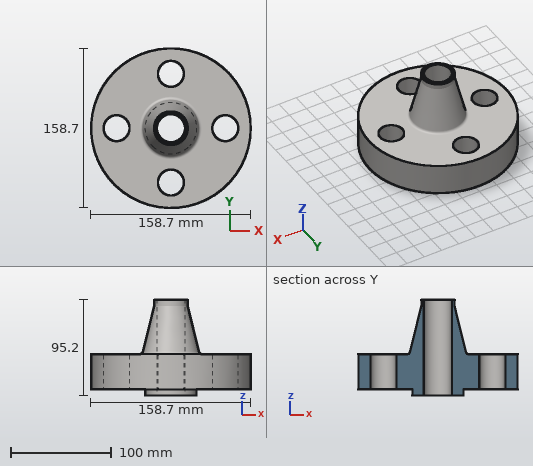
import cadquery as cq
import math

flange_diameter = 158.7
flange_thickness = 34.9

face_diameter = 51.1
face_height = 6.3

total_height = 95.2
neck_diameter = 33.6
neck_height = 6.7
hub_base_diameter = 57.1
hub_fillet = 3.2
bevel_width = 0.8
bevel_height = 0.5

bore_diameter = 27.8
bolt_hole_diameter = 25.5
bolt_circle_diameter = 108.0
bolt_count = 4

flange_top = face_height + flange_thickness
neck_bottom = total_height - neck_height


def revolved_body():
    """Raised face, disc, conical hub and bevelled neck as one turned solid."""
    flange_radius = flange_diameter / 2
    face_radius = face_diameter / 2
    hub_radius = hub_base_diameter / 2
    neck_radius = neck_diameter / 2

    slope = math.atan2(neck_bottom - flange_top, hub_radius - neck_radius)
    tangent_length = hub_fillet * math.tan(slope / 2)
    fillet_outer_radius = hub_radius + tangent_length
    fillet_top = (
        hub_radius - tangent_length * math.cos(slope),
        flange_top + tangent_length * math.sin(slope),
    )
    fillet_middle = (
        fillet_outer_radius - hub_fillet * math.sin(slope / 2),
        flange_top + hub_fillet * (1 - math.cos(slope / 2)),
    )

    profile = (
        cq.Workplane("XZ")
        .moveTo(0, 0)
        .lineTo(face_radius, 0)
        .lineTo(face_radius, face_height)
        .lineTo(flange_radius, face_height)
        .lineTo(flange_radius, flange_top)
        .lineTo(fillet_outer_radius, flange_top)
        .threePointArc(fillet_middle, fillet_top)
        .lineTo(neck_radius, neck_bottom)
        .lineTo(neck_radius, total_height - bevel_height)
        .lineTo(neck_radius - bevel_width, total_height)
        .lineTo(0, total_height)
        .close()
    )
    return profile.revolve(360, (0, 0, 0), (0, 1, 0))


def bore():
    """Straight bore through the full height."""
    return cq.Workplane("XY").circle(bore_diameter / 2).extrude(total_height)


def bolt_holes():
    """Ring of through holes, the first one on the +X axis."""
    return (
        cq.Workplane("XY")
        .polarArray(bolt_circle_diameter / 2, 0, 360, bolt_count)
        .circle(bolt_hole_diameter / 2)
        .extrude(total_height)
    )


result = revolved_body().cut(bore()).cut(bolt_holes())